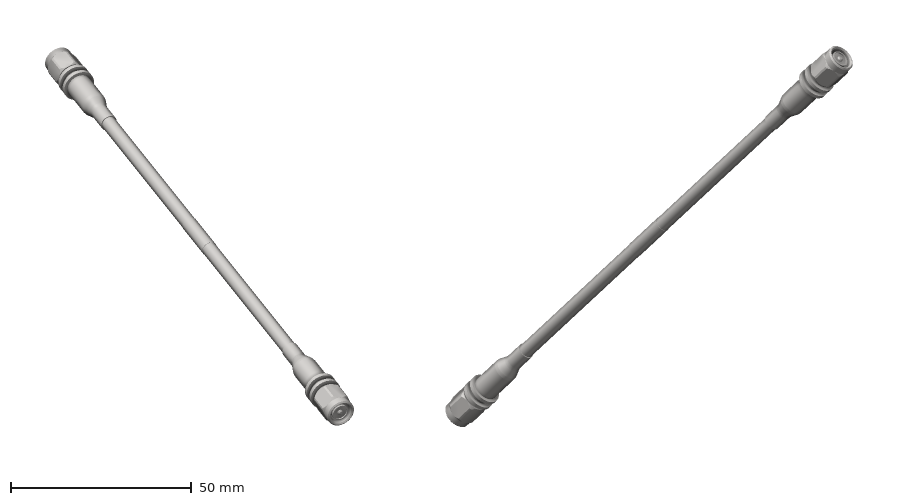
import cadquery as cq
import math

TOTAL_LENGTH = 182.0
HALF_LENGTH = TOTAL_LENGTH / 2


NUT_LENGTH = 9.1
NUT_ACROSS_FLATS = 8.0
NUT_ACROSS_CORNERS = NUT_ACROSS_FLATS / math.cos(math.radians(30))
NUT_CORNER_DIAMETER = 9.0
NUT_TILT = 14.0
NUT_BEVEL_LENGTH = 0.7
NUT_COLLAR_RADIUS = NUT_ACROSS_FLATS / 2
NUT_COLLAR_LENGTH = 2.4
NUT_FRONT_CHAMFER = 0.4
NUT_BORE_RADIUS = 3.1
NUT_BORE_CHAMFER = 0.4
NUT_BACK_WALL = 1.8

SHELL_RADIUS = 2.4
SHELL_RECESS = 0.5
SOCKET_RADIUS = 2.0
SOCKET_DEPTH = 0.4
PIN_RADIUS = 0.82
PIN_TIP_RADIUS = 0.45
PIN_RECESS = 0.4

NECK_RADIUS = 3.3
RING_RADIUS = 4.5
RING_WIDTH = 1.1
FRONT_RING_START = 10.0
REAR_RING_START = 12.7
BARREL_DIAMETER = 7.1
TAIL_DIAMETER = 4.7
CONE_START = 23.7
CONE_END = 27.0
CONE_BLEND_RADIUS = 3.1
EDGE_MARGIN = 0.2
CONNECTOR_LENGTH = 33.0

CABLE_DIAMETER = 4.2
CABLE_LENGTH = TOTAL_LENGTH - 2 * CONNECTOR_LENGTH
BAND_DIAMETER = 4.4
BAND_LENGTH = 12.7


def centred_cylinder(diameter, length):
    """Cylinder on the X axis, centred on the origin."""
    return cq.Workplane("YZ").workplane(offset=-length / 2).circle(diameter / 2).extrude(length)


def revolved(profile):
    """Solid of revolution about the X axis from (x, radius) points."""
    return cq.Workplane("XY").polyline(profile).close().revolve(360, (0, 0, 0), (1, 0, 0))


def make_nut():
    hexagon = (
        cq.Workplane("YZ")
        .polygon(6, NUT_ACROSS_CORNERS)
        .extrude(NUT_LENGTH)
        .rotate((0, 0, 0), (1, 0, 0), NUT_TILT)
    )
    collar = cq.Workplane("YZ").circle(NUT_COLLAR_RADIUS).extrude(NUT_COLLAR_LENGTH)

    envelope = revolved([
        (0, 0),
        (0, NUT_COLLAR_RADIUS - NUT_FRONT_CHAMFER),
        (NUT_FRONT_CHAMFER, NUT_COLLAR_RADIUS),
        (NUT_COLLAR_LENGTH, NUT_COLLAR_RADIUS),
        (NUT_COLLAR_LENGTH + NUT_BEVEL_LENGTH, NUT_CORNER_DIAMETER / 2),
        (NUT_LENGTH - NUT_BEVEL_LENGTH, NUT_CORNER_DIAMETER / 2),
        (NUT_LENGTH, NUT_COLLAR_RADIUS),
        (NUT_LENGTH, 0),
    ])

    bore_end = NUT_LENGTH - NUT_BACK_WALL
    bore = revolved([
        (0, 0),
        (0, NUT_BORE_RADIUS + NUT_BORE_CHAMFER),
        (NUT_BORE_CHAMFER, NUT_BORE_RADIUS),
        (bore_end, NUT_BORE_RADIUS),
        (bore_end, SHELL_RADIUS),
        (NUT_LENGTH, SHELL_RADIUS),
        (NUT_LENGTH, 0),
    ])
    return hexagon.union(collar).intersect(envelope).cut(bore)


def blend_cone_edge(body, position):
    """Round the circular edge where the cone meets the barrel or the tail."""
    edge_region = cq.selectors.BoxSelector(
        (position - EDGE_MARGIN, -RING_RADIUS, -RING_RADIUS),
        (position + EDGE_MARGIN, RING_RADIUS, RING_RADIUS),
        boundingbox=True,
    )
    return body.edges(edge_region).fillet(CONE_BLEND_RADIUS)


def make_connector_body():
    socket_floor = SHELL_RECESS + SOCKET_DEPTH
    pin_taper = PIN_RADIUS - PIN_TIP_RADIUS
    body = revolved([
        (PIN_RECESS, 0),
        (PIN_RECESS, PIN_TIP_RADIUS),
        (PIN_RECESS + pin_taper, PIN_RADIUS),
        (socket_floor, PIN_RADIUS),
        (socket_floor, SOCKET_RADIUS),
        (SHELL_RECESS, SOCKET_RADIUS),
        (SHELL_RECESS, SHELL_RADIUS),
        (NUT_LENGTH, SHELL_RADIUS),
        (NUT_LENGTH, NECK_RADIUS),
        (FRONT_RING_START, NECK_RADIUS),
        (FRONT_RING_START, RING_RADIUS),
        (FRONT_RING_START + RING_WIDTH, RING_RADIUS),
        (FRONT_RING_START + RING_WIDTH, NECK_RADIUS),
        (REAR_RING_START, NECK_RADIUS),
        (REAR_RING_START, RING_RADIUS),
        (REAR_RING_START + RING_WIDTH, RING_RADIUS),
        (REAR_RING_START + RING_WIDTH, BARREL_DIAMETER / 2),
        (CONE_START, BARREL_DIAMETER / 2),
        (CONE_END, TAIL_DIAMETER / 2),
        (CONNECTOR_LENGTH, TAIL_DIAMETER / 2),
        (CONNECTOR_LENGTH, 0),
    ])
    for position in (CONE_START, CONE_END):
        body = blend_cone_edge(body, position)
    return body


def make_cable():
    """Cable that butts against both connector tails, with its marker band."""
    cable = centred_cylinder(CABLE_DIAMETER, CABLE_LENGTH)
    return cable.union(centred_cylinder(BAND_DIAMETER, BAND_LENGTH))


def placed_at_end(part, turn):
    """Move a connector part to the -X end, then turn it about Z by the given angle."""
    return part.translate((-HALF_LENGTH, 0, 0)).rotate((0, 0, 0), (0, 0, 1), turn)


cable = make_cable()
nut = make_nut()
connector_body = make_connector_body()

bodies = [cable.solids().val()]
for turn in (0, 180):
    bodies.append(placed_at_end(nut, turn).solids().val())
    bodies.append(placed_at_end(connector_body, turn).solids().val())

result = cq.Compound.makeCompound(bodies)